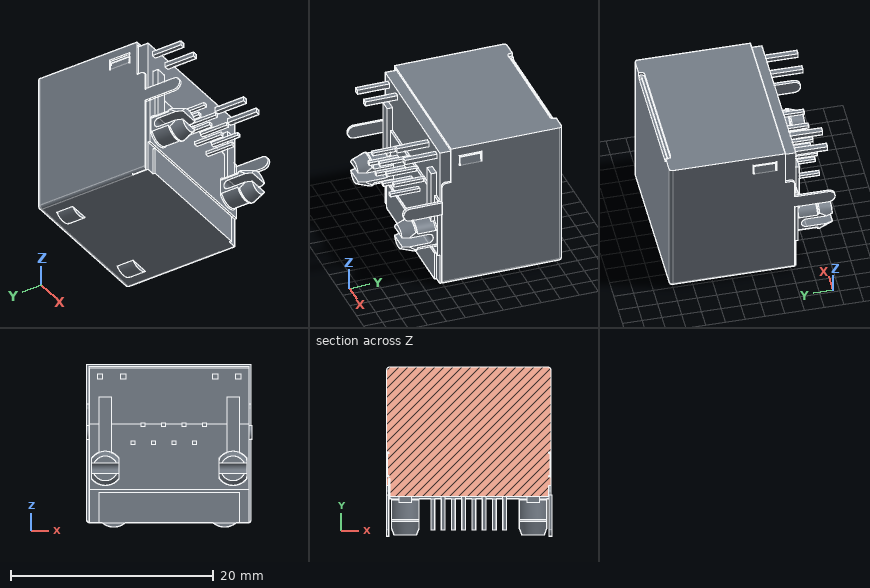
import cadquery as cq


shield_width = 16.3
shield_height = 15.7
shield_wall = 0.23
shield_roof_length = 11.74
shield_side_length = 12.68
shield_step_height = 11.79
shield_step_radius = 0.4
shield_edge_radius = 0.32
shield_cavity_start = 11.07
shield_half_width = shield_width / 2
inner_half_width = shield_half_width - shield_wall

side_gap = 0.07
roof_gap = 0.13
housing_width = 2 * inner_half_width - side_gap
housing_centre = side_gap / 2
housing_height = shield_height - shield_wall - roof_gap
housing_length = 12.85
raised_length = 13.06
raised_bottom = 3.32
raised_top = 9.81
foot_height = 3.04
foot_width = 13.92

bar_width = 1.22
bar_offset = 6.34
bar_top = 12.46
bar_length = 13.42

power_pin_offsets = (4.56, 6.85)
power_pin_width = 0.54
power_pin_thickness = 0.49
power_pin_height = 14.5
power_pin_length = 16.23
signal_pin_count = 8
signal_row_pitch = 2.03
signal_pin_pitch = signal_row_pitch / 2
signal_pin_width = 0.4
signal_pin_thickness = 0.34
signal_row_heights = (7.95, 9.71)
signal_pin_length = 16.15

tab_tip = 16.77
tab_width = 1.4
tab_height = 8.95
right_tab_thickness = 0.32

post_offset = 6.32
post_height = 5.4
post_flat_width = 2.75
post_radius = 1.6
post_base_radius = 1.68
post_base_end = 13.2
post_shoulder_start = 15.1
post_head_start = 15.18
post_head_end = 15.31
post_head_diameter = 3.4
post_head_radius = post_head_diameter / 2
post_tip_radius = 1.22
post_tip = 16.65
slot_width = 1.02
slot_bottom = 13.47

bump_offset = 5.48
bump_drop = 0.42
bump_chord = 2.28
bump_start = 1.25
bump_end = 3.14

window_start = 8.47
window_end = 10.87
window_bottom = 13.58
window_top = 14.74
window_side_gap = 0.1
window_depth = shield_wall
tongue_top = 14.44
tongue_set_in = 0.17

relief_width = 12.65
relief_length = 0.55
relief_radius = 0.3
relief_step_width = 12.1
relief_step_length = 0.27


def block(x_low, x_high, near, far, z_low, z_high):
    """Box reaching from the distance `near` to `far` behind the +Y face."""
    size = (x_high - x_low, far - near, z_high - z_low)
    return cq.Workplane("XY").box(*size, centered=False).translate((x_low, -far, z_low))


def centred_block(x_centre, width, near, far, z_low, z_high):
    """Box of the given width, placed symmetrically about `x_centre`."""
    return block(x_centre - width / 2, x_centre + width / 2, near, far, z_low, z_high)


def pin(x_centre, z_centre, width, thickness, tip):
    """Straight pin rooted inside the housing."""
    z_low = z_centre - thickness / 2
    return centred_block(x_centre, width, shield_roof_length, tip, z_low, z_low + thickness)


def make_shield():
    """Shield shell, stepped at its -Y end, with a cavity that receives the housing."""
    shell = centred_block(0, shield_width, 0, shield_side_length, 0, shield_height)
    shell = shell.edges("(|Z and >Y) or (|Y and <Z) or (>Y and <Z)").fillet(shield_edge_radius)
    roof_cut = centred_block(
        0, shield_width, shield_roof_length, tab_tip, shield_step_height, shield_height
    )
    cavity = centred_block(
        0, 2 * inner_half_width, shield_cavity_start, tab_tip, 0, shield_height - shield_wall
    )
    shell = shell.cut(roof_cut)
    margin = 0.02
    step_corner = cq.selectors.BoxSelector(
        (-shield_width, -shield_side_length - margin, shield_step_height - margin),
        (shield_width, -shield_side_length + margin, shield_step_height + margin),
    )
    shell = shell.edges(step_corner).fillet(shield_step_radius)
    return shell.cut(cavity)


def make_roof_relief():
    """Notch down to the housing top, with a deeper step along its +Y side."""
    opening = centred_block(0, relief_width, 0, relief_length, housing_height, shield_height)
    opening = opening.edges("|Z and <Y").fillet(relief_radius)
    step_floor = housing_height - shield_wall
    return opening.union(
        centred_block(0, relief_step_width, 0, relief_step_length, step_floor, shield_height)
    )


def make_window():
    """Pocket in the -X side with a spring tongue that leans inward toward its top."""
    outside = -shield_half_width
    pocket = block(
        outside, outside + window_depth, window_start, window_end, window_bottom, window_top
    )
    tongue = (
        cq.Workplane("XZ", origin=(0, -window_start - window_side_gap, 0))
        .moveTo(outside, window_bottom)
        .lineTo(outside + tongue_set_in, tongue_top)
        .lineTo(outside + window_depth, tongue_top)
        .lineTo(outside + window_depth, window_bottom)
        .close()
        .extrude(window_end - window_start - 2 * window_side_gap)
    )
    return pocket.cut(tongue)


def make_housing():
    """Housing block with its raised field, foot and two spacer bars."""
    housing = centred_block(
        housing_centre, housing_width, shield_cavity_start, housing_length, 0, housing_height
    )
    raised = centred_block(
        housing_centre, housing_width, shield_cavity_start, raised_length, raised_bottom, raised_top
    )
    foot = centred_block(
        housing_centre, foot_width, shield_cavity_start, raised_length, 0, foot_height
    )
    housing = housing.union(raised).union(foot)
    for side in (-1, 1):
        bar_centre = housing_centre + side * bar_offset
        housing = housing.union(
            centred_block(
                bar_centre, bar_width, shield_roof_length, bar_length, post_height, bar_top
            )
        )
    return housing


def make_pins():
    """Four power pins and two staggered rows of signal pins."""
    pins = []
    for offset in power_pin_offsets:
        for side in (-1, 1):
            x_centre = housing_centre + side * offset
            pins.append(
                pin(x_centre, power_pin_height, power_pin_width, power_pin_thickness, power_pin_length)
            )
    first_x = -signal_pin_pitch * (signal_pin_count - 1) / 2
    for index in range(signal_pin_count):
        x_centre = first_x + index * signal_pin_pitch
        z_centre = signal_row_heights[index % 2]
        pins.append(
            pin(x_centre, z_centre, signal_pin_width, signal_pin_thickness, signal_pin_length)
        )
    return pins


def make_tab(x_low, x_high):
    """Ground tab with a fully rounded tip."""
    half = tab_width / 2
    round_start = tab_tip - half
    return (
        cq.Workplane("YZ", origin=(x_low, 0, 0))
        .moveTo(-shield_side_length, tab_height - half)
        .lineTo(-round_start, tab_height - half)
        .threePointArc((-tab_tip, tab_height), (-round_start, tab_height + half))
        .lineTo(-shield_side_length, tab_height + half)
        .close()
        .extrude(x_high - x_low)
    )


def make_post(x_centre):
    """Turned post with a barbed head, flared base, flattened sides and a lengthwise slot."""
    post = (
        cq.Workplane("XY")
        .moveTo(0, -shield_roof_length)
        .lineTo(post_base_radius, -shield_roof_length)
        .lineTo(post_base_radius, -raised_length)
        .lineTo(post_radius, -post_base_end)
        .lineTo(post_radius, -post_shoulder_start)
        .lineTo(post_head_radius, -post_head_start)
        .lineTo(post_head_radius, -post_head_end)
        .lineTo(post_tip_radius, -post_tip)
        .lineTo(0, -post_tip)
        .close()
        .revolve(360, (0, 0, 0), (0, 1, 0))
    )
    post = post.intersect(
        centred_block(
            0, post_flat_width, shield_roof_length, post_tip, -post_head_radius, post_head_radius
        )
    )
    half_slot = slot_width / 2
    slot_round_centre = slot_bottom + half_slot
    slot = centred_block(0, post_flat_width, slot_round_centre, post_tip, -half_slot, half_slot)
    slot_end = (
        cq.Workplane("YZ")
        .center(-slot_round_centre, 0)
        .circle(half_slot)
        .extrude(post_flat_width / 2, both=True)
    )
    return post.cut(slot).cut(slot_end).translate((x_centre, 0, post_height))


def make_bump(x_centre):
    """Shallow round-bottomed bump below the shield."""
    half_chord = bump_chord / 2
    return (
        cq.Workplane("XZ", origin=(x_centre, -bump_start, 0))
        .moveTo(-half_chord, 0)
        .threePointArc((0, -bump_drop), (half_chord, 0))
        .close()
        .extrude(bump_end - bump_start)
    )


window = make_window()
result = make_shield().cut(make_roof_relief()).cut(window).cut(window.mirror("YZ"))
result = result.union(make_housing())
for single_pin in make_pins():
    result = result.union(single_pin)
result = result.union(make_tab(-shield_half_width, -inner_half_width))
result = result.union(make_tab(inner_half_width, inner_half_width + right_tab_thickness))
for side in (-1, 1):
    result = result.union(make_post(housing_centre + side * post_offset))
    result = result.union(make_bump(housing_centre + side * bump_offset))